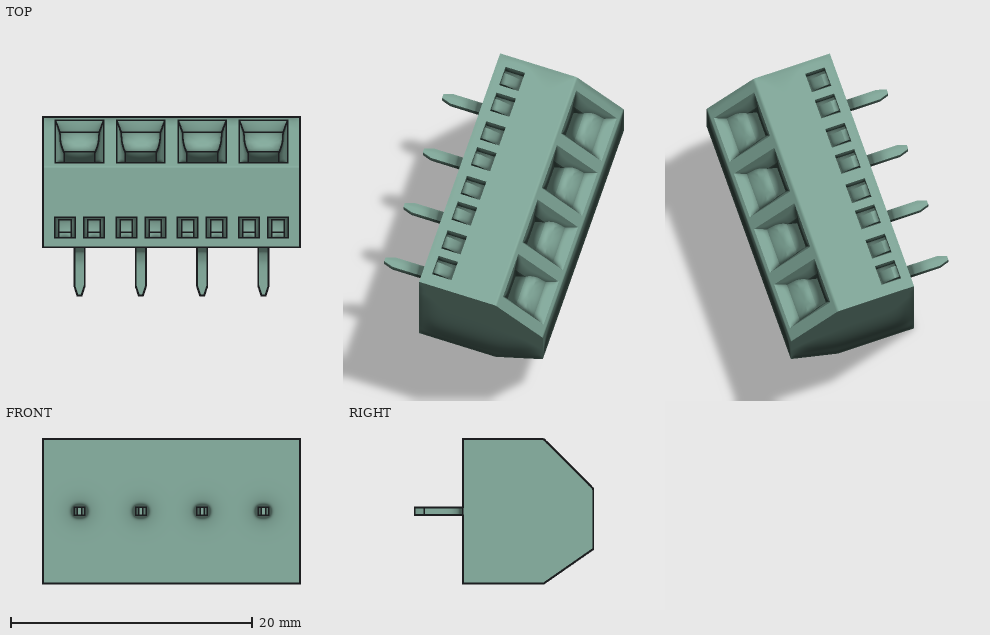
import cadquery as cq
import math


poles = 4
pitch = 5.08
end_margin = 0.5
body_length = poles * pitch + 2 * end_margin
body_depth = 10.8
body_height = 12.0
slope_run = 4.12
under_run = 4.12
under_rise = 2.87
slope_edge_radius = 0.3

pin_length = 4.0
pin_width = 0.87
pin_thickness = 0.64
pin_tip_length = 0.8
pin_tip_width = 0.35
pin_height = body_height / 2

socket_size = 1.7
socket_depth = 1.0
socket_offset = 1.2
socket_center_y = 1.65
ramp_width = 1.0
ramp_gap = 0.22
ramp_run = 1.05
ramp_angle = math.radians(22)

funnel_length = 5.0
funnel_width = 4.0
funnel_offset = 0.39
ledge_depth = 1.0
shoulder_run = 0.92
shoulder_rise = 0.69
hump_run = 1.62
hump_rise = 0.76
hump_front_angle = math.radians(37)
hump_back_angle = math.radians(20)
throat_angle = math.radians(36)
throat_width = 2.56
taper_depth = 1.36
throat_reach = 3.5

pole_positions = [(i - (poles - 1) / 2) * pitch for i in range(poles)]
slope_foot_z = body_height - slope_run


def slope_z(y):
    """Height of the 45 degree slope at a given Y."""
    return slope_foot_z + body_depth - y


def extrude_along_x(outline, width):
    """Extrude a YZ outline symmetrically about X = 0."""
    return cq.Workplane("YZ", origin=(-width / 2, 0, 0)).polyline(outline).close().extrude(width)


def make_body():
    outline = [
        (0, 0),
        (body_depth - under_run, 0),
        (body_depth, under_rise),
        (body_depth, slope_foot_z),
        (body_depth - slope_run, body_height),
        (0, body_height),
    ]
    body = extrude_along_x(outline, body_length)
    slope_face = body.faces(cq.selectors.DirectionMinMaxSelector(cq.Vector(0, 1, 1), True))
    return slope_face.edges("|X").fillet(slope_edge_radius)


def make_pin():
    shoulder_y = pin_tip_length - pin_length
    outline = [
        (-pin_width / 2, 0),
        (-pin_width / 2, shoulder_y),
        (-pin_tip_width / 2, -pin_length),
        (pin_tip_width / 2, -pin_length),
        (pin_width / 2, shoulder_y),
        (pin_width / 2, 0),
    ]
    pin = cq.Workplane("XY").polyline(outline).close().extrude(pin_thickness / 2, both=True)
    return pin.translate((0, 0, pin_height))


def make_socket():
    """Cutter for one socket, less the contact ramp that rises from its floor."""
    floor_z = body_height - socket_depth
    wall_y = socket_center_y + socket_size / 2
    opening = cq.Workplane("XY").box(socket_size, socket_size, socket_depth, centered=(True, True, False))
    opening = opening.translate((0, socket_center_y, floor_z))
    ramp_foot_y = wall_y - ramp_gap
    ramp_top_y = ramp_foot_y - ramp_run
    ramp_top_z = floor_z + ramp_run * math.tan(ramp_angle)
    ramp_outline = [
        (ramp_foot_y, floor_z),
        (ramp_top_y, ramp_top_z),
        (wall_y - socket_size, ramp_top_z),
        (wall_y - socket_size, floor_z),
    ]
    return opening.cut(extrude_along_x(ramp_outline, ramp_width))


def make_funnel():
    """Cutter for one wire funnel: side profile limited to a section that tapers into a throat."""
    lower_lip_y = body_depth - funnel_offset * math.sqrt(0.5)
    upper_lip_y = lower_lip_y - funnel_length * math.sqrt(0.5)
    ledge_z = slope_z(lower_lip_y)
    ledge_end_y = lower_lip_y - ledge_depth
    shoulder = (ledge_end_y - shoulder_run, ledge_z + shoulder_rise)
    hump_end_y = ledge_end_y - hump_run
    hump_end_z = ledge_z + hump_rise
    throat_z = hump_end_z - (hump_end_y - upper_lip_y) * math.tan(throat_angle)
    front_tangent = (-math.cos(hump_front_angle), math.sin(hump_front_angle))
    back_tangent = (-math.cos(hump_back_angle), -math.sin(hump_back_angle))
    hump_points = [shoulder, (hump_end_y, hump_end_z)]
    profile = (
        cq.Workplane("YZ", origin=(-funnel_width / 2, 0, 0))
        .moveTo(lower_lip_y, ledge_z)
        .lineTo(ledge_end_y, ledge_z)
        .spline(hump_points, tangents=[front_tangent, back_tangent], includeCurrent=True)
        .lineTo(upper_lip_y, throat_z)
        .lineTo(upper_lip_y, slope_z(upper_lip_y))
        .close()
        .extrude(funnel_width)
    )

    slope_plane = cq.Plane(
        origin=(0, lower_lip_y, ledge_z),
        xDir=(1, 0, 0),
        normal=(0, -1, 1),
    )
    section = [
        (-funnel_width / 2, 0),
        (funnel_width / 2, 0),
        (throat_width / 2, -taper_depth),
        (throat_width / 2, -throat_reach),
        (-throat_width / 2, -throat_reach),
        (-throat_width / 2, -taper_depth),
    ]
    limits = cq.Workplane(slope_plane).polyline(section).close().extrude(funnel_length, both=True)
    return profile.intersect(limits)


body = make_body()
pin = make_pin()
socket = make_socket()
funnel = make_funnel()
for x in pole_positions:
    body = body.cut(funnel.translate((x, 0, 0)))
    for side in (-1, 1):
        body = body.cut(socket.translate((x + side * socket_offset, 0, 0)))
    body = body.union(pin.translate((x, 0, 0)))

result = body